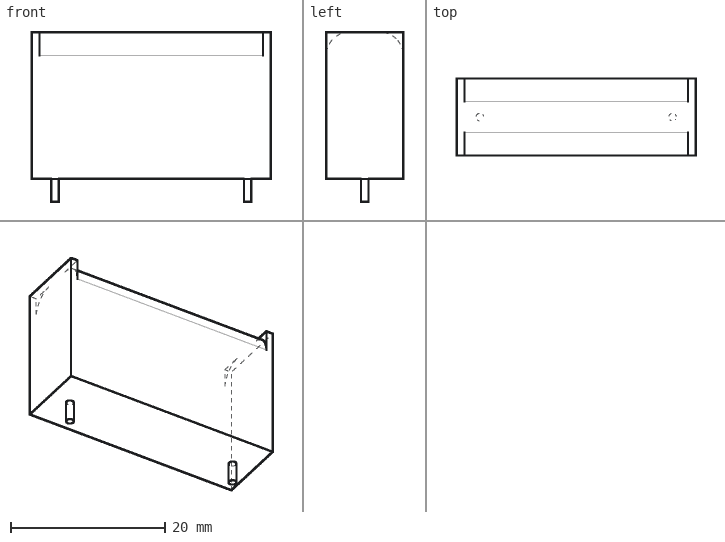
import cadquery as cq

case_length = 31.0
case_width = 10.0
total_height = 22.0
lead_length = 3.0
lead_diameter = 1.0
lead_pitch = 25.0
end_wall = 1.0
edge_radius = 3.0

case_height = total_height - lead_length


def block(length):
    """Block of the case section, centred in X and Y, standing on Z = 0."""
    return cq.Workplane("XY").box(length, case_width, case_height, centered=(True, True, False))


def make_case():
    """Full-section end walls joined by a middle with both long top edges rounded."""
    middle_length = case_length - 2 * end_wall
    middle = block(middle_length).edges("|X and >Z").fillet(edge_radius)
    end_walls = block(case_length).cut(block(middle_length))
    return middle.union(end_walls)


def make_leads():
    """Two round leads hanging below the case on its centre line."""
    lead_places = [(-lead_pitch / 2, 0), (lead_pitch / 2, 0)]
    return cq.Workplane("XY").pushPoints(lead_places).circle(lead_diameter / 2).extrude(-lead_length)


result = make_case().union(make_leads())